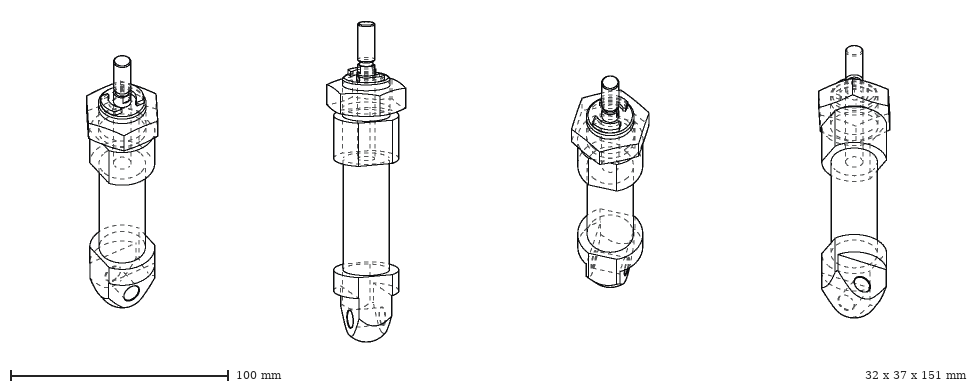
import cadquery as cq
import math

TOTAL_HEIGHT = 151.0
EYE_AXIS_Z = 11.3
REAR_CAP_BOTTOM_Z = 24.0
REAR_CAP_TOP_Z = 34.0
FRONT_CAP_BOTTOM_Z = 86.8
FRONT_CAP_TOP_Z = 107.3
NUT_BOTTOM_Z = 110.8
NUT_HEIGHT = 11.0
NECK_TOP_Z = 125.4

BARREL_DIAMETER = 21.3
CAP_RADIUS = 15.0
CAP_FLAT_FRONT_Y = -12.5
CAP_FLAT_BACK_Y = 13.4
NECK_DIAMETER = 22.0
NECK_TIP_DIAMETER = 20.38
NECK_CHAMFER = (NECK_DIAMETER - NECK_TIP_DIAMETER) / 2

LUG_HEIGHT = 2.3
LUG_OUTER_DIAMETER = 20.0
LUG_INNER_DIAMETER = 13.0
LUG_WIDTH = 12.4
LUG_GAP = 8.2

EYE_THICKNESS = 16.0
EYE_HOLE_DIAMETER = 8.0
EYE_HOLE_RIM_DIAMETER = 8.57
EYE_HOLE_CHAMFER = (EYE_HOLE_RIM_DIAMETER - EYE_HOLE_DIAMETER) / 2
EYE_NOSE_RADIUS = EYE_AXIS_Z
EYE_CONE_SLOPE = math.radians(60)

ROD_DIAMETER = 8.0
ROD_TIP_CHAMFER = 0.5
THREAD_BOTTOM_Z = 133.0
UNDERCUT_DIAMETER = 6.4
THREAD_RUNOUT = (ROD_DIAMETER - UNDERCUT_DIAMETER) / 2
UNDERCUT_BOTTOM_Z = 131.4
WRENCH_FLAT_WIDTH = 7.0
WRENCH_FLAT_BOTTOM_Z = 128.0

NUT_SIDES = 6
NUT_ACROSS_FLATS = 32.0
NUT_FACE_DIAMETER = 31.2
NUT_CHAMFER_ANGLE = math.radians(15)


def cylinder(diameter, bottom, top):
    return cq.Workplane("XY", origin=(0, 0, bottom)).circle(diameter / 2).extrude(top - bottom)


def block(x_size, y_min, y_max, bottom, top):
    corner_based = cq.Workplane("XY").box(x_size, y_max - y_min, top - bottom, centered=(True, False, False))
    return corner_based.translate((0, y_min, bottom))


def flatted_cap(bottom, top):
    """Round end cap with a flat on each Y side."""
    flats = block(2 * CAP_RADIUS, CAP_FLAT_FRONT_Y, CAP_FLAT_BACK_Y, bottom, top)
    return cylinder(2 * CAP_RADIUS, bottom, top).intersect(flats)


def make_eye():
    """Flat tongue with a ball nose that runs into a cone, pierced along X."""
    tangent_r = EYE_NOSE_RADIUS * math.sin(EYE_CONE_SLOPE)
    tangent_z = EYE_NOSE_RADIUS * (1 - math.cos(EYE_CONE_SLOPE))
    arc_mid_r = EYE_NOSE_RADIUS * math.sin(EYE_CONE_SLOPE / 2)
    arc_mid_z = EYE_NOSE_RADIUS * (1 - math.cos(EYE_CONE_SLOPE / 2))
    cone_top_z = tangent_z + (CAP_RADIUS - tangent_r) * math.tan(EYE_CONE_SLOPE)
    nose = (
        cq.Workplane("XZ")
        .moveTo(0, 0)
        .threePointArc((arc_mid_r, arc_mid_z), (tangent_r, tangent_z))
        .lineTo(CAP_RADIUS, cone_top_z)
        .lineTo(CAP_RADIUS, REAR_CAP_TOP_Z)
        .lineTo(0, REAR_CAP_TOP_Z)
        .close()
        .revolve(360, (0, 0, 0), (0, 1, 0))
    )
    eye = nose.intersect(block(EYE_THICKNESS, CAP_FLAT_FRONT_Y, CAP_FLAT_BACK_Y, 0, REAR_CAP_TOP_Z))
    half = EYE_THICKNESS / 2
    hole_r = EYE_HOLE_DIAMETER / 2
    rim_r = EYE_HOLE_RIM_DIAMETER / 2
    hole = (
        cq.Workplane("XY")
        .polyline([
            (-half, 0),
            (-half, rim_r),
            (-half + EYE_HOLE_CHAMFER, hole_r),
            (half - EYE_HOLE_CHAMFER, hole_r),
            (half, rim_r),
            (half, 0),
        ])
        .close()
        .revolve(360, (0, 0, 0), (1, 0, 0))
        .translate((0, 0, EYE_AXIS_Z))
    )
    return eye.cut(hole)


def make_lugs():
    """Ring cut down to two opposite lugs on the Y sides."""
    top = NECK_TOP_Z + LUG_HEIGHT
    reach = LUG_OUTER_DIAMETER / 2
    ring = cylinder(LUG_OUTER_DIAMETER, NECK_TOP_Z, top).cut(cylinder(LUG_INNER_DIAMETER, NECK_TOP_Z, top))
    sides = block(LUG_WIDTH, -reach, reach, NECK_TOP_Z, top)
    gap = block(LUG_WIDTH, -LUG_GAP / 2, LUG_GAP / 2, NECK_TOP_Z, top)
    return ring.intersect(sides).cut(gap)


def make_housing():
    neck = cylinder(NECK_DIAMETER, FRONT_CAP_TOP_Z, NECK_TOP_Z).faces(">Z").chamfer(NECK_CHAMFER)
    rod_bore = cylinder(ROD_DIAMETER, FRONT_CAP_BOTTOM_Z, NECK_TOP_Z)
    return (
        make_eye()
        .union(flatted_cap(REAR_CAP_BOTTOM_Z, REAR_CAP_TOP_Z))
        .union(cylinder(BARREL_DIAMETER, REAR_CAP_TOP_Z, FRONT_CAP_BOTTOM_Z))
        .union(flatted_cap(FRONT_CAP_BOTTOM_Z, FRONT_CAP_TOP_Z))
        .union(neck)
        .union(make_lugs())
        .cut(rod_bore)
    )


def make_rod():
    """Piston rod, seated in the front cap, with wrench flats, undercut and thread."""
    rod_r = ROD_DIAMETER / 2
    undercut_r = UNDERCUT_DIAMETER / 2
    rod = (
        cq.Workplane("XZ")
        .polyline([
            (0, FRONT_CAP_BOTTOM_Z),
            (rod_r, FRONT_CAP_BOTTOM_Z),
            (rod_r, UNDERCUT_BOTTOM_Z),
            (undercut_r, UNDERCUT_BOTTOM_Z),
            (undercut_r, THREAD_BOTTOM_Z),
            (rod_r, THREAD_BOTTOM_Z + THREAD_RUNOUT),
            (rod_r, TOTAL_HEIGHT - ROD_TIP_CHAMFER),
            (rod_r - ROD_TIP_CHAMFER, TOTAL_HEIGHT),
            (0, TOTAL_HEIGHT),
        ])
        .close()
        .revolve(360, (0, 0, 0), (0, 1, 0))
    )
    flat_zone = cylinder(2 * ROD_DIAMETER, WRENCH_FLAT_BOTTOM_Z, UNDERCUT_BOTTOM_Z)
    kept = block(WRENCH_FLAT_WIDTH, -rod_r, rod_r, WRENCH_FLAT_BOTTOM_Z, UNDERCUT_BOTTOM_Z)
    return rod.cut(flat_zone.cut(kept))


def make_nut():
    """Hexagon nut with corners on the Y axis and both faces chamfered by a cone."""
    corner_r = NUT_ACROSS_FLATS / 2 / math.cos(math.pi / NUT_SIDES)
    face_r = NUT_FACE_DIAMETER / 2
    chamfer_drop = (corner_r - face_r) * math.tan(NUT_CHAMFER_ANGLE)
    half_sector = 180 / NUT_SIDES
    hexagon = (
        cq.Workplane("XY")
        .polygon(NUT_SIDES, 2 * corner_r)
        .extrude(NUT_HEIGHT)
        .rotate((0, 0, 0), (0, 0, 1), half_sector)
    )
    turned = (
        cq.Workplane("XZ")
        .polyline([
            (NECK_DIAMETER / 2, 0),
            (face_r, 0),
            (corner_r, chamfer_drop),
            (corner_r, NUT_HEIGHT - chamfer_drop),
            (face_r, NUT_HEIGHT),
            (NECK_DIAMETER / 2, NUT_HEIGHT),
        ])
        .close()
        .revolve(360, (0, 0, 0), (0, 1, 0))
    )
    return hexagon.intersect(turned).translate((0, 0, NUT_BOTTOM_Z))


housing = make_housing()
rod = make_rod()
nut = make_nut()

result = cq.Compound.makeCompound([housing.val(), rod.val(), nut.val()])